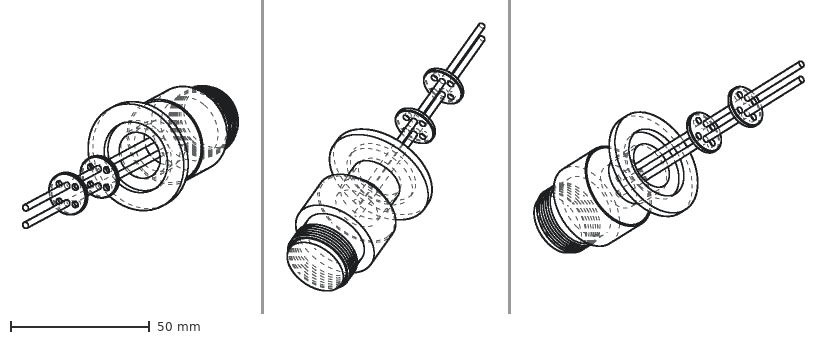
import cadquery as cq


total_length = 132.2

flange_radius = 20.0
flange_rim_width = 3.2
flange_width = 5.3
flange_shoulder_radius = 12.8
recess_radius = 13.2
recess_depth = 2.6
tube_radius = 9.5
tube_bore_radius = 8.6
bore_depth = 20.6

body_length = 53.5
cone_start = 15.1
cone_large_radius = 15.2
shell_start = 20.6
shell_end = 38.0
shell_radius = 15.9
neck_radius = 11.9

end_ring_radius = 11.4
end_ring_width = 2.2
thread_crest_radius = 12.5
thread_pitch = 1.2
thread_crests = 6

rod_radius = 1.2
rod_offset = 3.3
rod_length = total_length - body_length
disc_radius = 7.8
disc_width = 1.7
disc_edge_chamfer = 0.3
disc_hole_radius = 1.2
first_disc_distance = 25.0
disc_spacing = 22.3
disc_count = 2


def cylinder(radius, start, end, x=0, z=0):
    """Solid cylinder parallel to Y, between two Y positions."""
    profile = cq.Workplane("XZ", origin=(x, start, z)).circle(radius)
    return profile.extrude(start - end)


def body():
    """Flange, tube, cone, shell and neck, with a ridged thread at the far end."""
    thread_end = body_length - end_ring_width
    thread_start = thread_end - thread_crests * thread_pitch
    outline = (
        cq.Workplane("XY")
        .moveTo(0, 0)
        .lineTo(flange_radius, 0)
        .lineTo(flange_radius, flange_rim_width)
        .lineTo(flange_shoulder_radius, flange_width)
        .lineTo(tube_radius, flange_width)
        .lineTo(tube_radius, cone_start)
        .lineTo(cone_large_radius, shell_start)
        .lineTo(shell_radius, shell_start)
        .lineTo(shell_radius, shell_end)
        .lineTo(neck_radius, shell_end)
        .lineTo(neck_radius, thread_start)
    )
    for crest in range(thread_crests):
        ridge_start = thread_start + crest * thread_pitch
        outline = outline.lineTo(thread_crest_radius, ridge_start + thread_pitch / 2)
        outline = outline.lineTo(neck_radius, ridge_start + thread_pitch)
    outline = (
        outline.lineTo(end_ring_radius, thread_end)
        .lineTo(end_ring_radius, body_length)
        .lineTo(0, body_length)
        .close()
    )
    return outline.revolve(360, (0, 0, 0), (0, 1, 0))


def spacer_disc(near_face):
    """Chamfered disc with a clearance hole on each side of both rods."""
    disc = cylinder(disc_radius, near_face - disc_width, near_face)
    disc = disc.faces("<Y or >Y").edges().chamfer(disc_edge_chamfer)
    for x in (-rod_offset, rod_offset):
        for z in (-rod_offset, rod_offset):
            hole = cylinder(disc_hole_radius, near_face - disc_width, near_face, x, z)
            disc = disc.cut(hole)
    return disc


result = body()
result = result.cut(cylinder(recess_radius, 0, recess_depth))
result = result.cut(cylinder(tube_bore_radius, 0, bore_depth))

for index in range(disc_count):
    result = result.union(spacer_disc(-first_disc_distance - index * disc_spacing))
for z in (-rod_offset, rod_offset):
    result = result.union(cylinder(rod_radius, -rod_length, bore_depth, z=z))